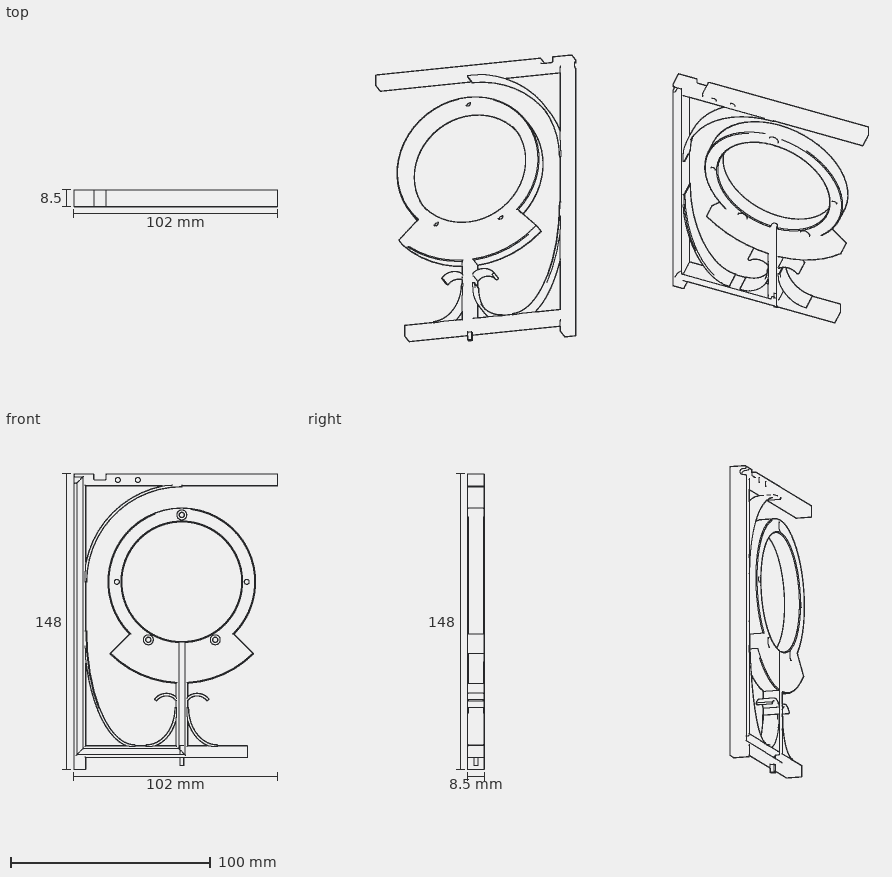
import cadquery as cq
import math

depth = 8.5
bar = 6.0
frame_height = 148.0
top_bar_length = 102.0
bottom_bar_length = 87.0
bottom_bar_z = 6.0
bottom_bar_top = bottom_bar_z + bar
top_bar_bottom = frame_height - bar

edge_round = 0.48

ring_x = 54.0
ring_z = 94.0
ring_outer_radius = 37.0
ring_inner_radius = 30.0
sector_radius = 50.9
sector_half_angle = 45.0

screw_circle_radius = 33.5
screw_angles = (90.0, 240.0, 300.0)
screw_diameter = 2.5
screw_head_diameter = 5.0
screw_head_depth = 5.5
side_hole_radius = 32.5
blind_hole_diameter = 2.5
blind_hole_depth = 5.0

notch_start = 10.0
notch_width = 6.0
notch_depth = 3.0
bar_hole_positions = (22.0, 32.0)

channel_width = 3.0
channel_radius = channel_width / 2
channel_wall_depth = 1.5

strip = 1.4
strip_step = 0.45
strip_sink = strip / 2 - strip_step
corner_arc_radius = ring_x - bar + strip_sink
sweep_x = 30.6
sweep_z = 69.5
scroll_offset = 17.8
scroll_z = 31.0
curl_offset = 7.7
curl_z = 30.8
curl_radius = 6.75
curl_end_angle = 36.0

pin_width = 2.0
pin_exposed_length = 4.0
pin_top = bottom_bar_top


def front_plane(x=0.0, z=0.0):
    """Sketch plane on the front face; extruding it by a negative length goes into the part."""
    return cq.Workplane("XZ", origin=(x, 0, z))


def round_outlines(body):
    """Round every outline edge on the front and back faces."""
    return body.faces("<Y or >Y").edges().fillet(edge_round)


def round_strip(body):
    """Round only the curved edges on the front and back faces, leaving the strip's ends square."""
    return body.faces("<Y or >Y").edges("not %LINE").fillet(edge_round)


def slab(x_start, z_start, length, height):
    """Full-depth rectangular bar."""
    return cq.Workplane("XY").box(length, depth, height, centered=False).translate((x_start, 0, z_start))


def polar(radius, angle):
    """Point at a radius and an angle in degrees about the sketch origin."""
    turn = math.radians(angle)
    return (radius * math.cos(turn), radius * math.sin(turn))


def make_bars():
    """Post, top bar, bottom bar and the stem up to the ring."""
    post = slab(0, 0, bar, frame_height)
    top_bar = slab(0, top_bar_bottom, top_bar_length, bar)
    bottom_bar = slab(0, bottom_bar_z, bottom_bar_length, bar)
    stem_top = ring_z - (ring_inner_radius + ring_outer_radius) / 2
    stem = slab(ring_x - bar / 2, bottom_bar_z, bar, stem_top - bottom_bar_z)
    return post.union(top_bar).union(bottom_bar).union(stem)


def make_ring_plate():
    """Ring disc and lower sector, before the bore is cut."""
    disc = front_plane(ring_x, ring_z).circle(ring_outer_radius).extrude(-depth)
    sector = (
        front_plane(ring_x, ring_z)
        .lineTo(*polar(sector_radius, -90 - sector_half_angle))
        .threePointArc((0, -sector_radius), polar(sector_radius, -90 + sector_half_angle))
        .close()
        .extrude(-depth)
    )
    return disc.union(sector)


def quarter_ellipse(x, z, x_radius, z_radius):
    """Lower left quarter of a solid elliptic disc about (x, z)."""
    return (
        front_plane(x, z)
        .lineTo(-x_radius, 0)
        .ellipseArc(x_radius, z_radius, 180, 270)
        .close()
        .extrude(-depth)
    )


def elliptic_strip(x, z, x_radius, z_radius):
    """Lower left quarter of an elliptic band about (x, z)."""
    half = strip / 2
    outer = quarter_ellipse(x, z, x_radius + half, z_radius + half)
    return outer.cut(quarter_ellipse(x, z, x_radius - half, z_radius - half))


def arc_strip(x, z, radius, start_angle, end_angle):
    """Circular band about (x, z) between two angles."""
    outer = radius + strip / 2
    inner = radius - strip / 2
    middle_angle = (start_angle + end_angle) / 2
    return (
        front_plane(x, z)
        .moveTo(*polar(outer, start_angle))
        .threePointArc(polar(outer, middle_angle), polar(outer, end_angle))
        .lineTo(*polar(inner, end_angle))
        .threePointArc(polar(inner, middle_angle), polar(inner, start_angle))
        .close()
        .extrude(-depth)
    )


def make_sweep():
    """Elliptic strip from the post down to the bottom bar."""
    x_radius = sweep_x - bar + strip_sink
    z_radius = sweep_z - bottom_bar_top + strip_sink
    return elliptic_strip(sweep_x, sweep_z, x_radius, z_radius)


def make_scroll():
    """Strip right of the stem: an elliptic rise off the bottom bar, and a curl out of the stem."""
    x_radius = scroll_offset - bar / 2 + strip_sink
    z_radius = scroll_z - bottom_bar_top + strip_sink
    rise = elliptic_strip(ring_x + scroll_offset, scroll_z, x_radius, z_radius)
    curl = arc_strip(ring_x + curl_offset, curl_z, curl_radius, curl_end_angle, 180)
    root_x = ring_x + bar / 2 + strip_step - strip
    outside_channel = slab(root_x, bottom_bar_top, scroll_offset, ring_z - bottom_bar_top)
    return [rise, curl.intersect(outside_channel)]


def make_strips():
    """All decorative strips with rounded edges, each as its own piece."""
    corner_arc = round_strip(arc_strip(ring_x, ring_z, corner_arc_radius, 90, 180))
    sweep = round_strip(make_sweep())
    scroll = [round_strip(piece) for piece in make_scroll()]
    mirrored_scroll = [piece.mirror("YZ", (ring_x, 0, 0)) for piece in scroll]
    return [corner_arc, sweep, *scroll, *mirrored_scroll]


def make_channel():
    """Channel cutter: in from the post's outer face, down the post, along the bar and up the stem."""
    path = cq.Workplane("XZ").polyline(
        [
            (0, frame_height - bar / 2),
            (bar / 2, frame_height - bar / 2),
            (bar / 2, bottom_bar_z + bar / 2),
            (ring_x, bottom_bar_z + bar / 2),
            (ring_x, ring_z),
        ]
    )
    profile = (
        cq.Workplane("YZ", origin=(0, 0, frame_height - bar / 2))
        .moveTo(0, -channel_radius)
        .lineTo(channel_wall_depth, -channel_radius)
        .threePointArc((channel_wall_depth + channel_radius, 0), (channel_wall_depth, channel_radius))
        .lineTo(0, channel_radius)
        .close()
    )
    return profile.sweep(path, transition="right")


def make_ring_holes():
    """Cutters for the counterbored screw holes and the two blind side holes."""
    screw_points = [polar(screw_circle_radius, angle) for angle in screw_angles]
    side_points = [(-side_hole_radius, 0), (side_hole_radius, 0)]
    ring_plane = front_plane(ring_x, ring_z)
    screws = ring_plane.pushPoints(screw_points).circle(screw_diameter / 2).extrude(-depth)
    heads = ring_plane.pushPoints(screw_points).circle(screw_head_diameter / 2).extrude(-screw_head_depth)
    sides = ring_plane.pushPoints(side_points).circle(blind_hole_diameter / 2).extrude(-blind_hole_depth)
    return screws.union(heads).union(sides)


def make_top_bar_cuts():
    """Cutters for the notch and the two blind holes of the top bar."""
    notch = slab(notch_start, frame_height - notch_depth, notch_width, notch_depth)
    holes = (
        front_plane(0, frame_height - bar / 2)
        .pushPoints([(x, 0) for x in bar_hole_positions])
        .circle(blind_hole_diameter / 2)
        .extrude(-blind_hole_depth)
    )
    return notch.union(holes)


def make_pin():
    """Square pin reaching up through the bottom bar, behind the wire channel."""
    pin_bottom = bottom_bar_z - pin_exposed_length
    return (
        cq.Workplane("XY", origin=(ring_x, depth / 2, pin_bottom))
        .rect(pin_width, pin_width)
        .extrude(pin_top - pin_bottom)
    )


def round_bar_corners(body):
    """Round the crosswise edges at the bar ends, the post foot and the notch."""
    notch_end = notch_start + notch_width
    corners = [
        (0, 0),
        (bar, 0),
        (top_bar_length, top_bar_bottom),
        (top_bar_length, frame_height),
        (bottom_bar_length, bottom_bar_z),
        (bottom_bar_length, bottom_bar_top),
        (notch_start, frame_height),
        (notch_end, frame_height),
        (notch_start, frame_height - notch_depth),
        (notch_end, frame_height - notch_depth),
    ]
    for x, z in corners:
        edge = cq.selectors.NearestToPointSelector((x, depth / 2, z))
        body = body.edges("|Y").edges(edge).fillet(edge_round)
    return body


pin = make_pin()

bore = front_plane(ring_x, ring_z).circle(ring_inner_radius).extrude(-depth)
core = make_bars().union(make_ring_plate()).cut(bore)
core = core.cut(make_ring_holes()).cut(make_top_bar_cuts()).cut(make_channel())
frame = round_outlines(round_bar_corners(core))
for piece in make_strips():
    frame = frame.union(piece)
frame = frame.cut(pin)

result = cq.Compound.makeCompound([*frame.solids().vals(), pin.val()])